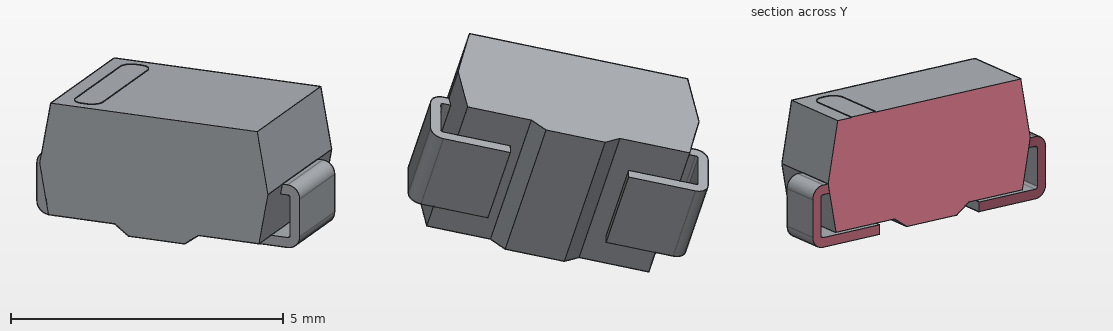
import cadquery as cq

LENGTH = 5.28
HEIGHT = 2.41

BASE_WIDTH = 2.92
TOP_WIDTH = 2.9
MARK_HEIGHT = 0.01
TOP_Z = HEIGHT - MARK_HEIGHT
WAIST_Z = 1.21
BOTTOM_Z = 0.23
TOP_HALF_LENGTH = 2.075
WAIST_HALF_LENGTH = 2.29
BOTTOM_HALF_LENGTH = 2.11

STANDOFF_X = 0.06
STANDOFF_Z = 0.03
STANDOFF_ROOT_LENGTH = 1.685
STANDOFF_TIP_LENGTH = 1.125

MARK_X = -1.49
MARK_LENGTH = 0.55
MARK_WIDTH = 2.48
MARK_CORNER_RADIUS = 0.22

LEAD_WIDTH = 1.6
LEAD_THICKNESS = 0.195
LEAD_INNER_RADIUS = 0.05
LEAD_OUTER_RADIUS = LEAD_INNER_RADIUS + LEAD_THICKNESS
LEAD_TOP_Z = 1.215
FOOT_TIP_X = 1.125


def make_moulding():
    """Moulded block with sloped ends, slightly drafted sides and a standoff below."""
    end_outline = [
        (-BOTTOM_HALF_LENGTH, BOTTOM_Z),
        (-WAIST_HALF_LENGTH, WAIST_Z),
        (-TOP_HALF_LENGTH, TOP_Z),
        (TOP_HALF_LENGTH, TOP_Z),
        (WAIST_HALF_LENGTH, WAIST_Z),
        (BOTTOM_HALF_LENGTH, BOTTOM_Z),
    ]
    standoff_outline = [
        (STANDOFF_X + STANDOFF_ROOT_LENGTH / 2, BOTTOM_Z),
        (STANDOFF_X + STANDOFF_TIP_LENGTH / 2, STANDOFF_Z),
        (STANDOFF_X - STANDOFF_TIP_LENGTH / 2, STANDOFF_Z),
        (STANDOFF_X - STANDOFF_ROOT_LENGTH / 2, BOTTOM_Z),
    ]
    block = (
        cq.Workplane("XZ")
        .polyline(end_outline + standoff_outline)
        .close()
        .extrude(BASE_WIDTH / 2, both=True)
    )
    draft_envelope = (
        cq.Workplane("YZ")
        .moveTo(-BASE_WIDTH / 2, STANDOFF_Z)
        .lineTo(BASE_WIDTH / 2, STANDOFF_Z)
        .lineTo(TOP_WIDTH / 2, TOP_Z)
        .lineTo(-TOP_WIDTH / 2, TOP_Z)
        .close()
        .extrude(WAIST_HALF_LENGTH, both=True)
    )
    return block.intersect(draft_envelope)


def make_mark():
    """Raised polarity bar with rounded corners on the top face."""
    return (
        cq.Workplane("XY", origin=(MARK_X, 0, TOP_Z))
        .rect(MARK_LENGTH, MARK_WIDTH)
        .extrude(MARK_HEIGHT)
        .edges("|Z")
        .fillet(MARK_CORNER_RADIUS)
    )


def make_lead(side, housing):
    """C-shaped lead at the +X end (side = 1) or the -X end (side = -1), ending flush on the housing."""
    outer_x = LENGTH / 2
    inner_x = outer_x - LEAD_THICKNESS
    arm_underside_z = LEAD_TOP_Z - LEAD_THICKNESS
    outline = [
        (FOOT_TIP_X, 0),
        (outer_x, 0),
        (outer_x, LEAD_TOP_Z),
        (BOTTOM_HALF_LENGTH, LEAD_TOP_Z),
        (BOTTOM_HALF_LENGTH, arm_underside_z),
        (inner_x, arm_underside_z),
        (inner_x, LEAD_THICKNESS),
        (FOOT_TIP_X, LEAD_THICKNESS),
    ]
    strip = (
        cq.Workplane("XZ")
        .polyline([(side * x, z) for x, z in outline])
        .close()
        .extrude(LEAD_WIDTH / 2, both=True)
    )
    outer_face = ">X" if side > 0 else "<X"
    bent = strip.faces(outer_face).edges("|Y").fillet(LEAD_OUTER_RADIUS)
    inner_corners = [(side * inner_x, 0, LEAD_THICKNESS), (side * inner_x, 0, arm_underside_z)]
    for corner in inner_corners:
        bent = bent.edges(cq.NearestToPointSelector(corner)).fillet(LEAD_INNER_RADIUS)
    return bent.cut(housing).solids()


housing = make_moulding().union(make_mark()).solids()
leads = [make_lead(side, housing) for side in (-1, 1)]

result = cq.Compound.makeCompound([housing.val(), *[lead.val() for lead in leads]])